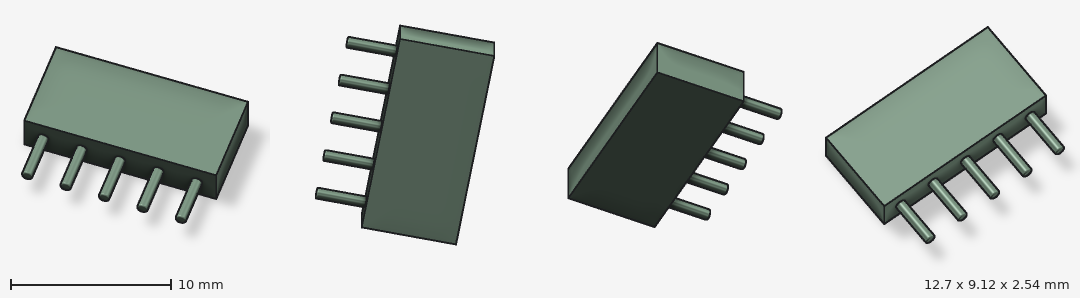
import cadquery as cq

pin_count = 5
pin_pitch = 2.54
housing_length = pin_count * pin_pitch
housing_depth = 6.0
housing_height = pin_pitch

pin_diameter = 0.7
pin_length = 3.12
tip_fillet = 0.1


def make_housing():
    """Plain block with its pin face on Y = 0."""
    return cq.Workplane("XY").box(
        housing_length, housing_depth, housing_height, centered=(True, False, True)
    )


def make_pin(x):
    """Pin along -Y with a rounded tip edge."""
    pin = cq.Workplane("XZ").center(x, 0).circle(pin_diameter / 2).extrude(pin_length)
    return pin.faces("<Y").edges().fillet(tip_fillet)


result = make_housing()
for index in range(pin_count):
    pin_x = (index - (pin_count - 1) / 2) * pin_pitch
    result = result.union(make_pin(pin_x))